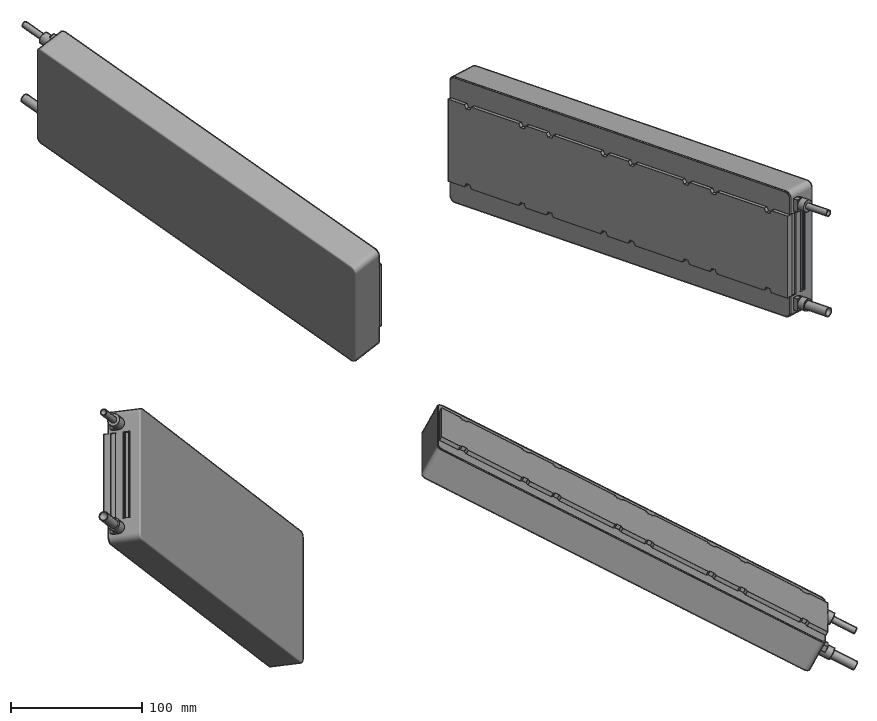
import cadquery as cq

housing_length = 334.7
housing_depth = 27.0
housing_height = 106.0
corner_radius = 5.0
front_rim_radius = 1.28
back_rim_chamfer = 0.7

overall_depth = 30.3
plate_length = 333.2
plate_height = 69.0

notch_corner_diameter = 7.0
notch_pair_count = 4
notch_pair_pitch = 80.3
notch_pair_spacing = 53.3

end_slots = (
    (20.5, 25.0, 1.0),
    (9.0, 14.5, 1.0),
    (10.2, 13.5, 2.2),
)

overall_length = 365.0
fitting_y = 18.2
fitting_z = 41.5
collar_diameter = 10.0
collar_length = 10.0
block_size = 10.2
block_length = 4.0
upper_pin_diameter = 5.0
lower_pin_diameter = 7.3
pin_wall = 0.5


def make_housing():
    """Slab with rounded corners, a rounded front rim and a chamfered back rim."""
    slab = cq.Workplane("XY").box(
        housing_length, housing_depth, housing_height, centered=(False, False, True)
    )
    slab = slab.edges("|Y").fillet(corner_radius)
    slab = slab.faces("<Y").edges().fillet(front_rim_radius)
    return slab.faces(">Y").edges().chamfer(back_rim_chamfer)


def make_plate():
    """Back plate, starting inside the housing, with notched long edges."""
    plate = cq.Workplane("XY").box(
        plate_length, overall_depth / 2, plate_height, centered=(False, False, True)
    )
    plate = plate.translate((0, overall_depth / 2, 0))
    notch_points = []
    for pair in range(notch_pair_count):
        pair_x = plate_length / 2 + (pair - (notch_pair_count - 1) / 2) * notch_pair_pitch
        for side in (-1, 1):
            for edge in (-1, 1):
                notch_points.append((pair_x + side * notch_pair_spacing / 2, edge * plate_height / 2))
    notches = (
        cq.Workplane("XZ", origin=(0, overall_depth, 0))
        .pushPoints(notch_points)
        .polygon(6, notch_corner_diameter)
        .extrude(overall_depth - housing_depth)
    )
    return plate.cut(notches)


def make_end_slot(front, back, depth):
    """Cutter for one upright slot in the left end face."""
    slot = cq.Workplane("XY").box(depth, back - front, plate_height, centered=(False, False, True))
    return slot.translate((0, front, 0))


def make_fitting(center_z, pin_diameter):
    """Collar on a square-backed block, carrying a pin with a dished tip."""
    end_plane = cq.Workplane("YZ", origin=(0, fitting_y, center_z))
    collar = end_plane.circle(collar_diameter / 2).extrude(-collar_length)
    block = end_plane.center(block_size / 4, 0).rect(block_size / 2, block_size).extrude(-block_length)
    pin_length = overall_length - housing_length
    pin = end_plane.circle(pin_diameter / 2).extrude(-pin_length)
    dish_radius = pin_diameter / 2 - pin_wall
    dish = cq.Workplane("YZ", origin=(-pin_length, fitting_y, center_z)).sphere(dish_radius)
    return collar.union(block).union(pin).cut(dish)


result = make_housing().union(make_plate())
for front, back, depth in end_slots:
    result = result.cut(make_end_slot(front, back, depth))
result = result.union(make_fitting(fitting_z, upper_pin_diameter))
result = result.union(make_fitting(-fitting_z, lower_pin_diameter))